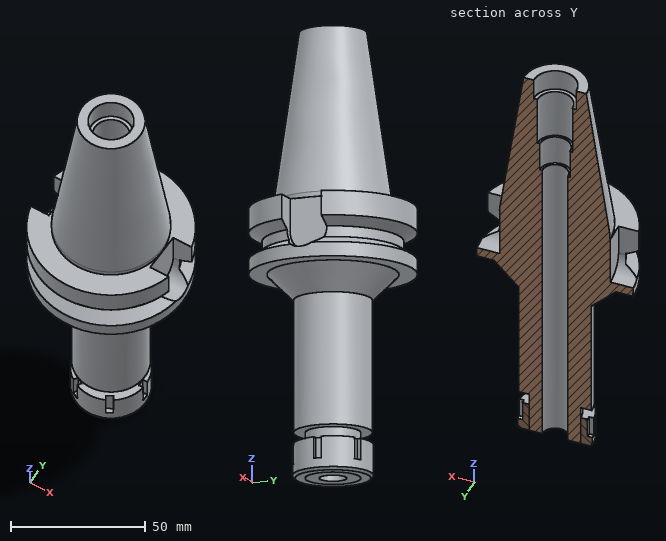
import cadquery as cq

total_height = 170.4

gauge_diameter = 44.5
taper_length = 65.5
taper_ratio = 7 / 24
collar_length = 2.0
gauge_z = total_height - taper_length
taper_tip_diameter = gauge_diameter - taper_length * taper_ratio

flange_diameter = 63.0
flange_height = 25.0
groove_diameter = 53.0
upper_rim_height = 9.4
groove_slope_height = 3.0
groove_floor_height = 4.1
flange_top_z = gauge_z - collar_length
flange_bottom_z = flange_top_z - flange_height
upper_rim_z = flange_top_z - upper_rim_height
groove_top_z = upper_rim_z - groove_slope_height
groove_bottom_z = groove_top_z - groove_floor_height
lower_rim_z = groove_bottom_z - groove_slope_height

keyway_width = 16.0
keyway_depth = 20.8
keyway_floor_x = 22.3

shank_diameter = 29.5
shank_bottom_z = 17.4
neck_diameter = 20.8
cone_height = 9.9
cone_top_diameter = shank_diameter + 2 * cone_height

recess_diameter = 17.0
recess_depth = 8.9
thread_diameter = 14.0
thread_depth = 30.0
step_diameter = 12.1
step_depth = 42.6
bore_diameter = 10.2

nut_diameter = 30.3
nut_height = 12.8
nut_chamfer = 1.0
nut_slot_count = 6
nut_slot_width = 2.9
nut_slot_depth = 2.0
nut_slot_bottom_z = 4.6


def make_holder():
    """Turned holder with a stepped bore and two round-ended keyways."""
    outline = [
        (0, 0),
        (neck_diameter / 2, 0),
        (neck_diameter / 2, shank_bottom_z),
        (shank_diameter / 2, shank_bottom_z),
        (shank_diameter / 2, flange_bottom_z - cone_height),
        (cone_top_diameter / 2, flange_bottom_z),
        (flange_diameter / 2, flange_bottom_z),
        (flange_diameter / 2, lower_rim_z),
        (groove_diameter / 2, groove_bottom_z),
        (groove_diameter / 2, groove_top_z),
        (flange_diameter / 2, upper_rim_z),
        (flange_diameter / 2, flange_top_z),
        (gauge_diameter / 2, flange_top_z),
        (gauge_diameter / 2, gauge_z),
        (taper_tip_diameter / 2, total_height),
        (0, total_height),
    ]
    body = cq.Workplane("XZ").polyline(outline).close().revolve(360, (0, 0), (0, 1))
    for side in (-1, 1):
        body = body.cut(make_keyway(side))
    return cut_stepped_bore(body)


def make_keyway(side):
    """Cutter running outward along X, with a half-round lower end."""
    half_width = keyway_width / 2
    arc_z = flange_top_z - keyway_depth + half_width
    return (
        cq.Workplane("YZ", origin=(side * keyway_floor_x, 0, 0))
        .moveTo(-half_width, flange_top_z)
        .lineTo(-half_width, arc_z)
        .threePointArc((0, flange_top_z - keyway_depth), (half_width, arc_z))
        .lineTo(half_width, flange_top_z)
        .close()
        .extrude(side * flange_diameter / 2)
    )


def cut_stepped_bore(body):
    """Coaxial holes from the taper tip, each narrower and deeper than the last."""
    steps = [
        (recess_diameter, recess_depth),
        (thread_diameter, thread_depth),
        (step_diameter, step_depth),
        (bore_diameter, total_height),
    ]
    for diameter, depth in steps:
        hole = cq.Workplane("XY", origin=(0, 0, total_height - depth)).circle(diameter / 2).extrude(depth)
        body = body.cut(hole)
    return body


def make_nut():
    """Ring around the neck with wrench slots open at its top face."""
    nut = cq.Workplane("XY").circle(nut_diameter / 2).extrude(nut_height)
    nut = nut.faces("<Z").chamfer(nut_chamfer)
    nut = nut.cut(cq.Workplane("XY").circle(neck_diameter / 2).extrude(nut_height))
    slot_height = nut_height - nut_slot_bottom_z
    slot = cq.Workplane("XY").box(
        2 * nut_slot_depth, nut_slot_width, slot_height, centered=(True, True, False)
    ).translate((nut_diameter / 2, 0, nut_slot_bottom_z))
    for index in range(nut_slot_count):
        nut = nut.cut(slot.rotate((0, 0, 0), (0, 0, 1), index * 360 / nut_slot_count))
    return nut


holder = make_holder()
clamping_nut = make_nut()
result = cq.Compound.makeCompound([holder.val(), clamping_nut.val()])